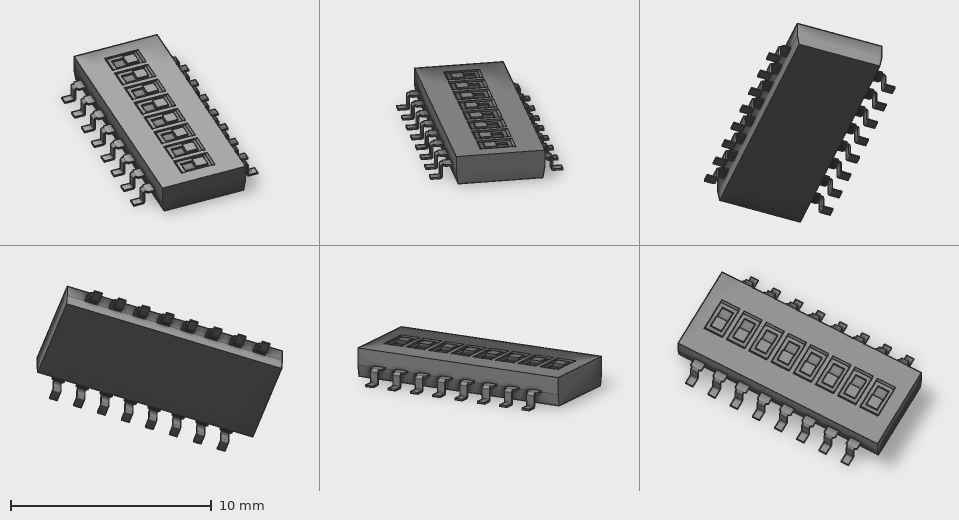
import cadquery as cq

body_length = 11.39
body_width = 4.5
overall_width = 6.7
overall_height = 1.6

standoff = 0.1
parting_height = 0.72
side_taper = 0.1

switch_count = 8
station_span = 8.88
station_pitch = station_span / (switch_count - 1)
stations = [i * station_pitch - station_span / 2 for i in range(switch_count)]

pocket_length = 1.03
pocket_width = 1.81
pocket_depth = 0.1

window_length = 0.62
window_width = 1.21
slider_rise = pocket_depth
window_depth = 0.1

lead_thickness = 0.09
lead_top = 0.79
lead_width = 0.41
shoulder_width = 0.63
shoulder_reach = 0.39
shoulder_taper_end = 0.44
column_reach = 0.6
upper_bend = 0.06
lower_bend = 0.03
lead_embed = 0.11

half_width = body_width / 2
pocket_floor = overall_height - pocket_depth


def make_body():
    base_half = half_width - side_taper
    return (
        cq.Workplane("YZ")
        .polyline([
            (-base_half, standoff),
            (base_half, standoff),
            (half_width, parting_height),
            (half_width, overall_height),
            (-half_width, overall_height),
            (-half_width, parting_height),
        ])
        .close()
        .extrude(body_length / 2, both=True)
    )


def make_pocket(x):
    """Cutter with vertical sides and ramped ends."""
    top_half = pocket_width / 2
    floor_half = top_half - pocket_depth
    return (
        cq.Workplane("YZ", origin=(x, 0, 0))
        .polyline([
            (-top_half, overall_height),
            (-floor_half, pocket_floor),
            (floor_half, pocket_floor),
            (top_half, overall_height),
        ])
        .close()
        .extrude(pocket_length / 2, both=True)
    )


def make_half_window(x, side, z_low, height):
    """Block filling the window half on the given side (+1 or -1) of the X axis."""
    half = window_width / 2
    return (
        cq.Workplane("XY", origin=(x, side * half / 2, z_low))
        .box(window_length, half, height, centered=(True, True, False))
    )


def make_lead():
    """Lead on the -Y side at X = 0."""
    root_y = -half_width + lead_embed
    column_outer = -half_width - column_reach
    column_inner = column_outer + lead_thickness
    tip_y = -overall_width / 2
    upper_outer = upper_bend + lead_thickness
    lower_outer = lower_bend + lead_thickness
    strip = (
        cq.Workplane("YZ")
        .moveTo(root_y, lead_top)
        .lineTo(column_outer + upper_outer, lead_top)
        .radiusArc((column_outer, lead_top - upper_outer), -upper_outer)
        .lineTo(column_outer, lead_thickness + lower_bend)
        .radiusArc((column_outer - lower_bend, lead_thickness), lower_bend)
        .lineTo(tip_y, lead_thickness)
        .lineTo(tip_y, 0)
        .lineTo(column_inner - lower_outer, 0)
        .radiusArc((column_inner, lower_outer), -lower_outer)
        .lineTo(column_inner, lead_top - lead_thickness - upper_bend)
        .radiusArc((column_inner + upper_bend, lead_top - lead_thickness), upper_bend)
        .lineTo(root_y, lead_top - lead_thickness)
        .close()
        .extrude(shoulder_width / 2, both=True)
    )
    shoulder_y = -half_width - shoulder_reach
    neck_y = -half_width - shoulder_taper_end
    plan = (
        cq.Workplane("XY")
        .polyline([
            (-shoulder_width / 2, root_y),
            (-shoulder_width / 2, shoulder_y),
            (-lead_width / 2, neck_y),
            (-lead_width / 2, tip_y),
            (lead_width / 2, tip_y),
            (lead_width / 2, neck_y),
            (shoulder_width / 2, shoulder_y),
            (shoulder_width / 2, root_y),
        ])
        .close()
        .extrude(lead_top)
    )
    return strip.intersect(plan)


result = make_body()
front_lead = make_lead()
rear_lead = front_lead.mirror("XZ")

for x in stations:
    result = result.cut(make_pocket(x))
    result = result.cut(make_half_window(x, -1, pocket_floor - window_depth, window_depth))
    result = result.union(make_half_window(x, 1, pocket_floor, slider_rise))
    result = result.union(front_lead.translate((x, 0, 0)))
    result = result.union(rear_lead.translate((x, 0, 0)))